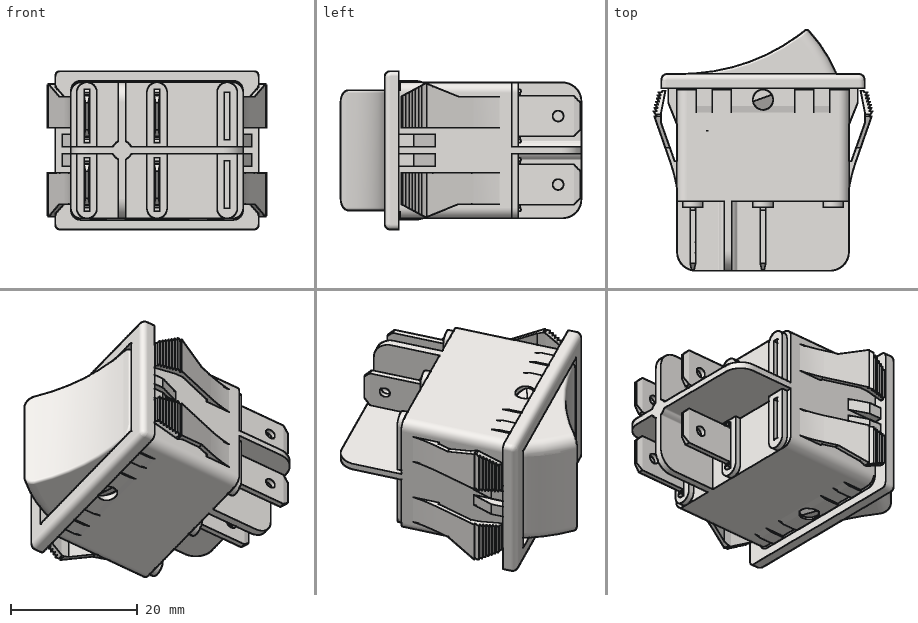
import cadquery as cq


flange_length = 32.07
flange_width = 25.0
flange_thick = 2.28
flange_corner_radius = 0.8
flange_edge_radius = 0.95
case_length = 27.15
case_width = 21.45
case_depth = 17.8
case_corner_radius = 1.6
case_side = case_length / 2
case_top = case_width / 2

pad_height = 0.247
pad_flat_depth = 2.77
pad_depth = 3.8
centre_pad_length = 10.05
end_pad_length = 2.5
end_pad_offset = 9.25
collar_height = 0.25
collar_depth = 0.23

pivot_y = -1.8
pivot_diameter = 3.2
rocker_tilt = 20.0
rocker_width = 19.0
rocker_half_length = 12.27
rocker_tip_x = 10.35
rocker_tip_height = 8.15
rocker_saddle_height = 6.35
rocker_end_mid_x = 11.55
rocker_end_mid_height = 4.65
rocker_end_radius = 1.9
rocker_finger_edge_radius = 0.45
pin_reach = 10.6
pin_bevel_start = 0.25
pin_bevel_drop = 1.0

pocket_clearance = 0.1
pocket_half_length = 12.75
pocket_depth = 9.12

tail_depth = 28.75
barrier_corner_radius = 3.05
long_barrier_thick = 1.15
cross_barrier_thick = 1.2
cross_barrier_x = -5.5
barrier_post_diameter = 3.05
barrier_post_blend_radius = 0.23

terminal_pitch = 11.05
boss_width = 3.2
boss_height = 1.0
boss_face = case_depth + boss_height
terminal_z = 5.4
blade_width = 6.35
blade_thick = 0.87
blade_end = 28.58
blade_taper = 1.03
blade_tip_width = 4.25
blade_tip_thick = 0.4
blade_hole_diameter = 1.7
blade_hole_depth = 25.08
nub_width = 0.57
nub_height = 0.45
root_height = 0.35
root_slit = 0.2
root_width = 8.45
spare_slot_width = 7.52
spare_slot_depth = 3.05

clip_span = 34.55
clip_reach = clip_span / 2
clip_tooth_count = 7
clip_tooth_pitch = 0.5
clip_tooth_lean = 0.125
clip_tooth_bite = 0.55
clip_last_tooth_y = -3.57
clip_tip_y = -0.35
clip_crest_y = -4.05
clip_shoulder_y = -4.4
clip_neck_y = -9.4
clip_foot_y = -15.8
clip_foot_start = (14.6, -11.7)
clip_foot_middle = (14.0, -13.75)
clip_tip_inner_x = 15.35
clip_tip_outer_x = 15.85
clip_notch_x = 16.75
clip_shoulder_x = 17.15
clip_inner_x = 16.07
clip_inner_bend_start = -4.0
clip_inner_bend_end = -5.35
clip_root_x = 13.9
clip_root_y = -11.48
clip_inner_z = 3.55
clip_outer_z = 8.47
clip_shoulder_z = 10.5
rib_height = 1.35
rib_flat_depth = 2.3
rib_depth = 5.7
rib_inner_z = 0.55
rib_width = 1.98


def box(x_range, y_range, z_range):
    """Block given by its limits along each axis."""
    low, high = zip(x_range, y_range, z_range)
    size = [b - a for a, b in zip(low, high)]
    return cq.Workplane("XY").box(*size, centered=False).translate(low)


def both_x(shape):
    """The shape and its mirror image on the other X side."""
    return [shape, shape.mirror("YZ")]


def both_z(shape):
    """The shape and its mirror image on the other Z side."""
    return [shape, shape.mirror("XY")]


def depth_plane(depth):
    """Sketch plane across the case at a depth behind the flange, facing -Y."""
    return cq.Workplane("XZ", origin=(0, -depth, 0))


def make_flange():
    return (
        depth_plane(-flange_thick)
        .rect(flange_length, flange_width)
        .extrude(flange_thick)
        .edges("|Y")
        .fillet(flange_corner_radius)
        .faces(">Y")
        .edges()
        .fillet(flange_edge_radius)
    )


def make_case():
    return (
        depth_plane(0)
        .rect(case_length, case_width)
        .extrude(case_depth)
        .edges("|Y")
        .fillet(case_corner_radius)
    )


def make_collar():
    """Short sloped collar where the wide case walls meet the flange."""
    collar_width = case_width + 2 * collar_height
    wide_end = cq.Sketch().rect(case_length, collar_width).vertices().fillet(case_corner_radius)
    case_end = cq.Sketch().rect(case_length, case_width).vertices().fillet(case_corner_radius)
    case_end = case_end.moved(cq.Location((0, 0, collar_depth)))
    return depth_plane(0).placeSketch(wide_end, case_end).loft(ruled=True)


def make_pad(length, x):
    """Raised pad with a sloped end on the +Z case wall."""
    return (
        cq.Workplane("YZ", origin=(x, 0, case_top))
        .polyline([
            (0, -pad_height),
            (0, pad_height),
            (-pad_flat_depth, pad_height),
            (-pad_depth, 0),
            (-pad_depth, -pad_height),
        ])
        .close()
        .extrude(length / 2, both=True)
    )


def make_rib():
    """Guide rib with a sloped end on the +X case wall, on the +Z side."""
    return (
        cq.Workplane("XY", origin=(case_side, 0, rib_inner_z))
        .polyline([(0, 0), (rib_height, 0), (rib_height, -rib_flat_depth), (0, -rib_depth)])
        .close()
        .extrude(rib_width)
    )


def make_clip():
    """Springy snap clip with a toothed end on the +X case wall, on the +Z side."""
    teeth = []
    for i in reversed(range(clip_tooth_count)):
        x = clip_reach - i * clip_tooth_lean
        y = clip_last_tooth_y + i * clip_tooth_pitch
        teeth += [(x - clip_tooth_bite, y), (x, y)]
    side = cq.Workplane("XY").moveTo(clip_tip_inner_x, clip_tip_y).lineTo(clip_tip_outer_x, clip_tip_y)
    for point in teeth:
        side = side.lineTo(*point)
    side = (
        side
        .lineTo(clip_notch_x, clip_shoulder_y)
        .lineTo(clip_shoulder_x, clip_shoulder_y)
        .lineTo(*clip_foot_start)
        .threePointArc(clip_foot_middle, (case_side, clip_foot_y))
        .lineTo(case_side, clip_root_y)
        .lineTo(clip_root_x, clip_root_y)
        .lineTo(clip_inner_x, clip_inner_bend_end)
        .lineTo(clip_inner_x, clip_inner_bend_start)
        .close()
        .extrude(clip_shoulder_z)
    )
    face = (
        cq.Workplane("YZ")
        .polyline([
            (clip_tip_y, clip_inner_z),
            (clip_tip_y, clip_outer_z),
            (clip_crest_y, clip_shoulder_z),
            (clip_shoulder_y, clip_shoulder_z),
            (clip_neck_y, clip_outer_z),
            (clip_foot_y, clip_outer_z),
            (clip_foot_y, clip_inner_z),
        ])
        .close()
        .extrude(clip_reach)
    )
    return side.intersect(face)


def make_barriers():
    """Crossed walls behind the case, with a round post where they meet."""
    long_wall = (
        box(
            (-case_side, case_side),
            (-tail_depth, -case_depth),
            (-long_barrier_thick / 2, long_barrier_thick / 2),
        )
        .edges("|Z and <Y")
        .fillet(barrier_corner_radius)
    )
    half_thick = cross_barrier_thick / 2
    cross_wall = (
        box(
            (cross_barrier_x - half_thick, cross_barrier_x + half_thick),
            (-tail_depth, -case_depth),
            (-case_top, case_top),
        )
        .edges("|X and <Y")
        .fillet(barrier_corner_radius)
    )
    post = (
        depth_plane(case_depth)
        .center(cross_barrier_x, 0)
        .circle(barrier_post_diameter / 2)
        .extrude(tail_depth - case_depth)
    )
    around_post = cq.selectors.BoxSelector(
        (cross_barrier_x - barrier_post_diameter, -tail_depth, -barrier_post_diameter),
        (cross_barrier_x + barrier_post_diameter, -case_depth, barrier_post_diameter),
    )
    return (
        long_wall.union(cross_wall).union(post)
        .edges("|Y")
        .edges(around_post)
        .fillet(barrier_post_blend_radius)
    )


def make_boss(x):
    """Round-ended boss across the back of the case for one row of terminals."""
    return depth_plane(case_depth).center(x, 0).slot2D(case_width, boss_width, 90).extrude(boss_height)


def make_terminal(x):
    """Blade terminal on the +Z side, with a tapered tip, a cross hole and a nubbed root at each edge."""
    shank_end = blade_end - blade_taper
    blade = (
        depth_plane(boss_face)
        .center(x, terminal_z)
        .rect(blade_thick, blade_width)
        .extrude(shank_end - boss_face)
    )
    tip = (
        depth_plane(shank_end)
        .center(x, terminal_z)
        .rect(blade_thick, blade_width)
        .workplane(offset=blade_taper)
        .rect(blade_tip_thick, blade_tip_width)
        .loft(ruled=True)
    )
    hole = (
        cq.Workplane("YZ", origin=(x, 0, 0))
        .center(-blade_hole_depth, terminal_z)
        .circle(blade_hole_diameter / 2)
        .extrude(blade_thick, both=True)
    )
    terminal = blade.union(tip).cut(hole)
    slit_edge = blade_width / 2 + root_slit
    nub_start = root_width / 2 - nub_width
    nub_straight = nub_height - nub_width / 2
    root = (
        cq.Workplane("YZ", origin=(x, -boss_face, terminal_z))
        .moveTo(0, slit_edge)
        .lineTo(-root_height, slit_edge)
        .lineTo(-root_height, nub_start)
        .lineTo(-nub_straight, nub_start)
        .threePointArc((-nub_height, (root_width - nub_width) / 2), (-nub_straight, root_width / 2))
        .lineTo(0, root_width / 2)
        .close()
        .extrude(blade_thick / 2, both=True)
    )
    return terminal.union(root).union(root.mirror("XY", (0, 0, terminal_z)))


def make_spare_slot():
    """Empty terminal slot in the +X boss, on the +Z side."""
    return (
        depth_plane(boss_face)
        .center(terminal_pitch, terminal_z)
        .rect(blade_thick, spare_slot_width)
        .extrude(-spare_slot_depth)
    )


def make_housing():
    housing = make_flange().union(make_case()).union(make_collar())
    pads = both_x(make_pad(end_pad_length, end_pad_offset))
    pads.append(make_pad(centre_pad_length, 0))
    parts = [make_barriers()]
    for pad in pads:
        parts += both_z(pad)
    for wall_part in (make_rib(), make_clip()):
        for copy in both_x(wall_part):
            parts += both_z(copy)
    for x in (-terminal_pitch, 0, terminal_pitch):
        parts.append(make_boss(x))
    for x in (-terminal_pitch, 0):
        parts += both_z(make_terminal(x))
    for part in parts:
        housing = housing.union(part)

    pocket_half_width = rocker_width / 2 + pocket_clearance
    pocket = box(
        (-pocket_half_length, pocket_half_length),
        (-pocket_depth, flange_thick),
        (-pocket_half_width, pocket_half_width),
    )
    pivot_hole = (
        cq.Workplane("XY")
        .center(0, pivot_y)
        .circle(pivot_diameter / 2)
        .extrude(flange_width / 2, both=True)
    )
    housing = housing.cut(pocket).cut(pivot_hole)
    for slot in both_z(make_spare_slot()):
        housing = housing.cut(slot)
    return housing


def make_pin():
    """Pivot pin on the +Z side of the rocker, bevelled on its lower half so that it snaps in."""
    radius = pivot_diameter / 2
    pin = cq.Workplane("XY").circle(radius).extrude(pin_reach)
    bevel = (
        cq.Workplane("YZ")
        .polyline([
            (pin_bevel_start, pin_reach),
            (-radius, pin_reach),
            (-radius, pin_reach - pin_bevel_drop),
        ])
        .close()
        .extrude(radius, both=True)
    )
    return pin.cut(bevel)


def make_rocker():
    """Rocker modelled level about its pivot axis, then tilted to one switched position."""
    bottom = -pivot_diameter / 2
    body = (
        cq.Workplane("XY")
        .moveTo(-rocker_half_length, bottom)
        .lineTo(rocker_half_length, bottom)
        .lineTo(rocker_half_length, 0)
        .threePointArc((rocker_end_mid_x, rocker_end_mid_height), (rocker_tip_x, rocker_tip_height))
        .threePointArc((0, rocker_saddle_height), (-rocker_tip_x, rocker_tip_height))
        .threePointArc((-rocker_end_mid_x, rocker_end_mid_height), (-rocker_half_length, 0))
        .close()
        .extrude(rocker_width / 2, both=True)
    )
    for end in (-1, 1):
        for side in (-1, 1):
            corner = (end * rocker_end_mid_x, rocker_end_mid_height, side * rocker_width / 2)
            body = body.edges(cq.NearestToPointSelector(corner)).fillet(rocker_end_radius)
    finger_face = cq.NearestToPointSelector((0, rocker_tip_height, 0))
    body = body.faces(finger_face).edges().fillet(rocker_finger_edge_radius)
    for pin in both_z(make_pin()):
        body = body.union(pin)
    return body.rotate((0, 0, 0), (0, 0, 1), rocker_tilt).translate((0, pivot_y, 0))


housing = make_housing()
rocker = make_rocker()
result = cq.Compound.makeCompound([housing.val(), rocker.val()])